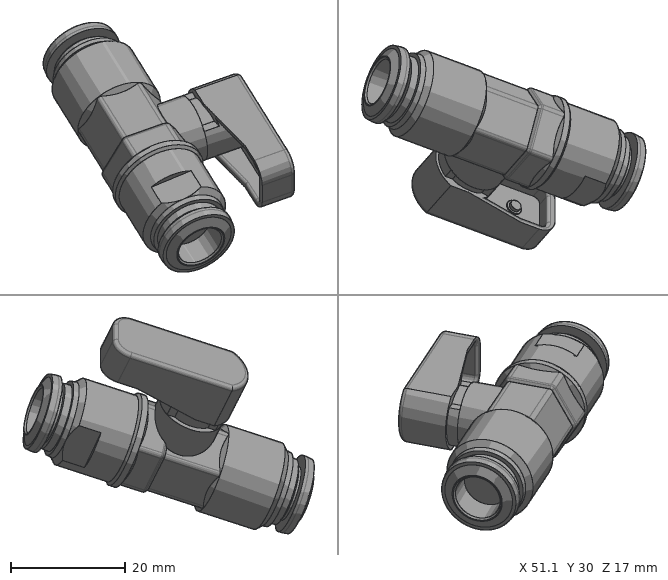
import cadquery as cq
import math

LENGTH = 51.1

EDGE_MARGIN = 0.05

COLLET_FACE_RADIUS = 4.65
COLLET_CONE_RADIUS = 6.3
COLLET_CONE_LENGTH = 0.8
COLLET_RIM_RADIUS = 6.9
COLLET_HEAD_RADIUS = 7.05
COLLET_TAPER_END = 1.95
COLLET_HEAD_END = 2.55
COLLET_SLEEVE_RADIUS = 4.95
TUBE_RADIUS = 4.15
TUBE_CHAMFER = 0.3
SOCKET_DEPTH = 5.0

RING_NOSE_START = 3.0
RING_NOSE_RADIUS = 5.05
RING_START = 3.5
RING_FRONT_RADIUS = 6.05
RING_BACK_RADIUS = 6.15

SHELL_START = 4.8
SHELL_FRONT_RADIUS = 6.85
SHELL_STEP_RADIUS = 7.0
SHELL_STEP_END = 5.75
SHELL_CHAMFER_END = 6.8
SHELL_RADIUS = 16.0 / 2

SLEEVE_END = 17.4
SMALL_HEX_APOTHEM = 7.0
SLEEVE_CONE_LENGTH = 0.8
LARGE_HEX_START = 27.9
LARGE_HEX_APOTHEM = 7.5
LARGE_HEX_CHAMFER = 0.55
LARGE_HEX_CHAMFER_FILLET = 0.4
HEX_EDGE_FILLET = 1.0
FLANGE_CONE_START = 32.35
FLANGE_START = 32.9
FLANGE_RADIUS = 17.0 / 2
FLANGE_CHAMFER_START = 34.05
BODY_END = 34.5

STEM_X = LENGTH / 2
NECK_RADIUS = 6.0
NECK_TOP = 10.55

CAP_FLAT_START = 40.15
CAP_FLAT_APOTHEM = 7.0
CAP_ANGLE = 4.8

HANDLE_TOP = 21.45
HANDLE_HALF_WIDTH = 5.5
HANDLE_END_RADIUS = 6.55
HANDLE_TIP_X = 44.55
HANDLE_CORNER_RADIUS = 3.25
HANDLE_TOP_FILLET = 0.75
HANDLE_SKIRT = 12.5
HANDLE_LEVER_BOTTOM = 14.95
HANDLE_SLOPE_START = 25.6
HANDLE_SLOPE_END = 37.6
POCKET_FLOOR = 17.85
POCKET_SIDE_WALL = 1.2
POCKET_TIP_WALL = 1.5
POCKET_RIM_FILLET = 0.55
POCKET_CORNER_RADIUS = 1.35
HUB_CORE_RADIUS = 4.95
HUB_WING_HALF_WIDTH = 3.85

SCREW_X = 37.8
SCREW_RADIUS = 1.0
SCREW_TIP = 16.95
SCREW_FLANGE_RADIUS = 1.45
SCREW_FLANGE_HEIGHT = 0.25
SCREW_DEPTH = 1.0


def revolve_about_x(points):
    """Revolve an (x, radius) outline about the X axis."""
    return cq.Workplane("XY").polyline(points).close().revolve(360, (0, 0, 0), (1, 0, 0))


def cylinder_y(radius, x, y_start, y_end):
    """Cylinder along Y between two heights, centred on Z = 0."""
    disc = cq.Workplane("XZ", origin=(x, y_start, 0)).circle(radius)
    return disc.extrude(y_start - y_end)


def box_between(x, y, z):
    """Box spanning three (low, high) ranges."""
    sizes = [high - low for low, high in (x, y, z)]
    return cq.Workplane("XY").box(*sizes, centered=False).translate((x[0], y[0], z[0]))


def mirrored_end(body):
    """Copy of a left-end body at the right end."""
    return body.mirror("YZ", (LENGTH / 2, 0, 0))


def make_collet():
    """Release collet of the left end, with a sleeve reaching to the socket floor."""
    return revolve_about_x([
        (TUBE_CHAMFER, TUBE_RADIUS),
        (0, TUBE_RADIUS + TUBE_CHAMFER),
        (0, COLLET_FACE_RADIUS),
        (COLLET_CONE_LENGTH, COLLET_CONE_RADIUS),
        (COLLET_CONE_LENGTH, COLLET_RIM_RADIUS),
        (COLLET_TAPER_END, COLLET_HEAD_RADIUS),
        (COLLET_HEAD_END, COLLET_HEAD_RADIUS),
        (COLLET_HEAD_END, COLLET_SLEEVE_RADIUS),
        (SOCKET_DEPTH, COLLET_SLEEVE_RADIUS),
        (SOCKET_DEPTH, TUBE_RADIUS),
    ])


def make_guide_ring():
    """Guide ring around the left collet sleeve, against the end of the shell."""
    return revolve_about_x([
        (RING_NOSE_START, COLLET_SLEEVE_RADIUS),
        (RING_NOSE_START, RING_NOSE_RADIUS),
        (RING_START, RING_NOSE_RADIUS),
        (RING_START, RING_FRONT_RADIUS),
        (SHELL_START, RING_BACK_RADIUS),
        (SHELL_START, COLLET_SLEEVE_RADIUS),
    ])


def make_shell_end(inner_end):
    """Left-end shell with a blind socket for the collet, ending at X = inner_end."""
    return revolve_about_x([
        (SOCKET_DEPTH, 0),
        (SOCKET_DEPTH, COLLET_SLEEVE_RADIUS),
        (SHELL_START, COLLET_SLEEVE_RADIUS),
        (SHELL_START, SHELL_FRONT_RADIUS),
        (SHELL_STEP_END, SHELL_STEP_RADIUS),
        (SHELL_CHAMFER_END, SHELL_RADIUS),
        (inner_end, SHELL_RADIUS),
        (inner_end, 0),
    ])


def make_hex(apothem, x_start, x_end):
    """Hexagonal bar along X with rounded edges and flats facing +Z and -Z."""
    corner_circle = 2 * apothem / math.cos(math.pi / 6)
    outline = cq.Workplane("YZ", origin=(x_start, 0, 0)).polygon(6, corner_circle)
    return outline.extrude(x_end - x_start).edges("|X").fillet(HEX_EDGE_FILLET)


def make_body():
    """Valve body: left shell, two hexagons, flange and neck."""
    sleeve_cone_end = SLEEVE_END + SLEEVE_CONE_LENGTH
    sleeve_cone = revolve_about_x([
        (SLEEVE_END, 0),
        (SLEEVE_END, SHELL_RADIUS),
        (sleeve_cone_end, SMALL_HEX_APOTHEM),
        (sleeve_cone_end, 0),
    ])
    flange = revolve_about_x([
        (FLANGE_CONE_START, 0),
        (FLANGE_CONE_START, LARGE_HEX_APOTHEM),
        (FLANGE_START, FLANGE_RADIUS),
        (FLANGE_CHAMFER_START, FLANGE_RADIUS),
        (BODY_END, SHELL_RADIUS),
        (BODY_END, 0),
    ])
    small_hex = make_hex(SMALL_HEX_APOTHEM, SLEEVE_END, LARGE_HEX_START)
    large_hex = make_hex(LARGE_HEX_APOTHEM, LARGE_HEX_START, FLANGE_START)
    large_hex = large_hex.faces("<X").chamfer(LARGE_HEX_CHAMFER)
    rim_x = LARGE_HEX_START + LARGE_HEX_CHAMFER
    chamfer_rim = cq.selectors.BoxSelector(
        (rim_x - EDGE_MARGIN, -FLANGE_RADIUS, -FLANGE_RADIUS),
        (rim_x + EDGE_MARGIN, FLANGE_RADIUS, FLANGE_RADIUS),
    )
    large_hex = large_hex.edges(chamfer_rim).fillet(LARGE_HEX_CHAMFER_FILLET)
    neck = cylinder_y(NECK_RADIUS, STEM_X, 0, NECK_TOP)

    body = make_shell_end(SLEEVE_END)
    for section in (sleeve_cone, small_hex, large_hex, flange, neck):
        body = body.union(section)
    return body


def make_cap():
    """Right shell with two wrench flats, turned slightly about the flow axis."""
    cap = mirrored_end(make_shell_end(LENGTH - BODY_END))
    reach = (-2 * SHELL_RADIUS, 2 * SHELL_RADIUS)
    upper_waste = box_between((CAP_FLAT_START, LENGTH), reach, (CAP_FLAT_APOTHEM, 2 * SHELL_RADIUS))
    cap = cap.cut(upper_waste).cut(upper_waste.mirror("XY"))
    return cap.rotate((0, 0, 0), (1, 0, 0), CAP_ANGLE)


def make_handle_blank():
    """Handle outline with a round stem end, without its pocket and hub."""
    shoulder = STEM_X - math.sqrt(HANDLE_END_RADIUS**2 - HANDLE_HALF_WIDTH**2)
    blank = (
        cq.Workplane("XZ", origin=(0, HANDLE_SKIRT, 0))
        .moveTo(shoulder, -HANDLE_HALF_WIDTH)
        .lineTo(HANDLE_TIP_X, -HANDLE_HALF_WIDTH)
        .lineTo(HANDLE_TIP_X, HANDLE_HALF_WIDTH)
        .lineTo(shoulder, HANDLE_HALF_WIDTH)
        .threePointArc((STEM_X - HANDLE_END_RADIUS, 0), (shoulder, -HANDLE_HALF_WIDTH))
        .close()
        .extrude(HANDLE_SKIRT - HANDLE_TOP)
    )
    blank = blank.edges("|Y and >X").fillet(HANDLE_CORNER_RADIUS)
    blank = blank.faces(">Y").edges().fillet(HANDLE_TOP_FILLET)
    under_lever = (
        cq.Workplane("XY", origin=(0, 0, -HANDLE_HALF_WIDTH))
        .moveTo(HANDLE_SLOPE_START, HANDLE_SKIRT)
        .lineTo(HANDLE_SLOPE_END, HANDLE_LEVER_BOTTOM)
        .lineTo(HANDLE_TIP_X, HANDLE_LEVER_BOTTOM)
        .lineTo(HANDLE_TIP_X, HANDLE_SKIRT)
        .close()
        .extrude(2 * HANDLE_HALF_WIDTH)
    )
    return blank.cut(under_lever)


def make_handle_pocket():
    """Hollow under the lever, bounded on its inner side by the round hub."""
    half_width = HANDLE_HALF_WIDTH - POCKET_SIDE_WALL
    pocket = box_between(
        (STEM_X, HANDLE_TIP_X - POCKET_TIP_WALL),
        (HANDLE_SKIRT, POCKET_FLOOR),
        (-half_width, half_width),
    )
    pocket = pocket.edges("|Y and >X").fillet(POCKET_CORNER_RADIUS)
    return pocket.cut(cylinder_y(NECK_RADIUS, STEM_X, HANDLE_SKIRT, POCKET_FLOOR))


def make_hub():
    """Handle hub standing on the neck: a round core with two wings along X."""
    core = cylinder_y(HUB_CORE_RADIUS, STEM_X, NECK_TOP, POCKET_FLOOR)
    wing_span = box_between(
        (STEM_X - NECK_RADIUS, STEM_X + NECK_RADIUS),
        (NECK_TOP, POCKET_FLOOR),
        (-HUB_WING_HALF_WIDTH, HUB_WING_HALF_WIDTH),
    )
    wings = cylinder_y(NECK_RADIUS, STEM_X, NECK_TOP, POCKET_FLOOR).intersect(wing_span)
    return core.union(wings)


def make_screw():
    """Screw along Y through the pocket floor, with a thin flange against the floor."""
    flange = cylinder_y(SCREW_FLANGE_RADIUS, SCREW_X, POCKET_FLOOR - SCREW_FLANGE_HEIGHT, POCKET_FLOOR)
    shank = cylinder_y(SCREW_RADIUS, SCREW_X, SCREW_TIP, POCKET_FLOOR + SCREW_DEPTH)
    return shank.union(flange)


def make_handle():
    """Hollow lever with its hub and the hole for the screw."""
    handle = make_handle_blank().cut(make_handle_pocket())
    half_width = HANDLE_HALF_WIDTH - POCKET_SIDE_WALL
    rim_box = cq.selectors.BoxSelector(
        (STEM_X, HANDLE_SKIRT, -half_width - EDGE_MARGIN),
        (HANDLE_TIP_X, HANDLE_LEVER_BOTTOM + EDGE_MARGIN, half_width + EDGE_MARGIN),
        boundingbox=True,
    )
    handle = handle.edges(rim_box).edges("%LINE").fillet(POCKET_RIM_FILLET)
    handle = handle.union(make_hub())
    return handle.cut(make_screw())


collet = make_collet()
guide_ring = make_guide_ring()
ends = [collet, mirrored_end(collet), guide_ring, mirrored_end(guide_ring)]
body = make_body()
cap = make_cap()
handle = make_handle()
screw = make_screw()

result = cq.Compound.makeCompound([
    body.val(),
    cap.val(),
    *[end.val() for end in ends],
    handle.val(),
    screw.val(),
])